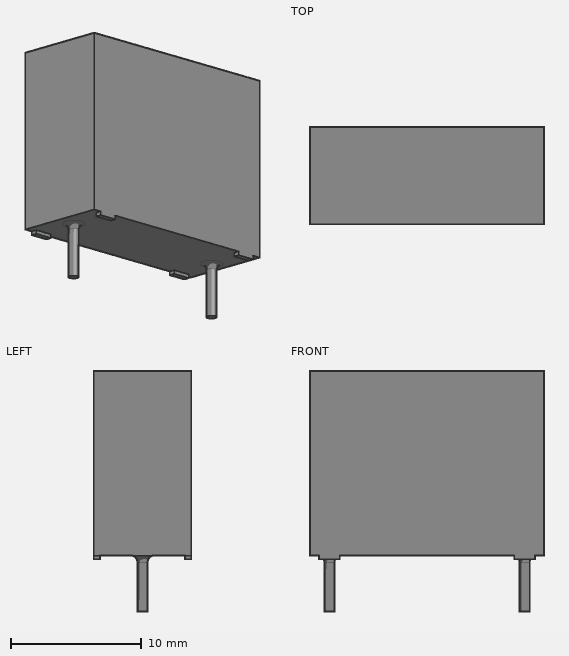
import cadquery as cq


case_length = 18.0
case_width = 7.5
overall_height = 18.5

lead_pitch = 15.0
lead_diameter = 0.8
lead_projection = 4.0
meniscus_radius = 0.5

foot_length = 1.6
foot_width = 0.5
foot_height = 0.3

seated_height = overall_height - lead_projection
case_height = seated_height - foot_height
lead_radius = lead_diameter / 2
lead_length = lead_projection + foot_height
foot_offset_y = (case_width - foot_width) / 2
lead_positions = [(side * lead_pitch / 2, 0) for side in (-1, 1)]
foot_positions = [(x, side * foot_offset_y) for x, _ in lead_positions for side in (-1, 1)]


def make_case():
    """Plain rectangular case, raised off Z = 0 by the feet."""
    return (
        cq.Workplane("XY")
        .workplane(offset=foot_height)
        .rect(case_length, case_width)
        .extrude(case_height)
    )


def make_feet():
    """Four feet flush with the long sides, level with the leads along X."""
    return (
        cq.Workplane("XY")
        .pushPoints(foot_positions)
        .rect(foot_length, foot_width)
        .extrude(foot_height)
    )


def make_lead(position):
    """Round lead hanging from the case, with a quarter-round flare at its root."""
    x, y = position
    shaft = (
        cq.Workplane("XY", origin=(x, y, foot_height))
        .circle(lead_radius)
        .extrude(-lead_length)
    )
    flare_outer = lead_radius + meniscus_radius
    arc_reach = meniscus_radius * (1 - 0.5 ** 0.5)
    flare = (
        cq.Workplane("XZ", origin=(x, y, foot_height))
        .moveTo(0, 0)
        .lineTo(flare_outer, 0)
        .threePointArc((lead_radius + arc_reach, -arc_reach), (lead_radius, -meniscus_radius))
        .lineTo(0, -meniscus_radius)
        .close()
        .revolve(360, (0, 0), (0, 1))
    )
    return shaft.union(flare)


result = make_case().union(make_feet())
for lead_position in lead_positions:
    result = result.union(make_lead(lead_position))